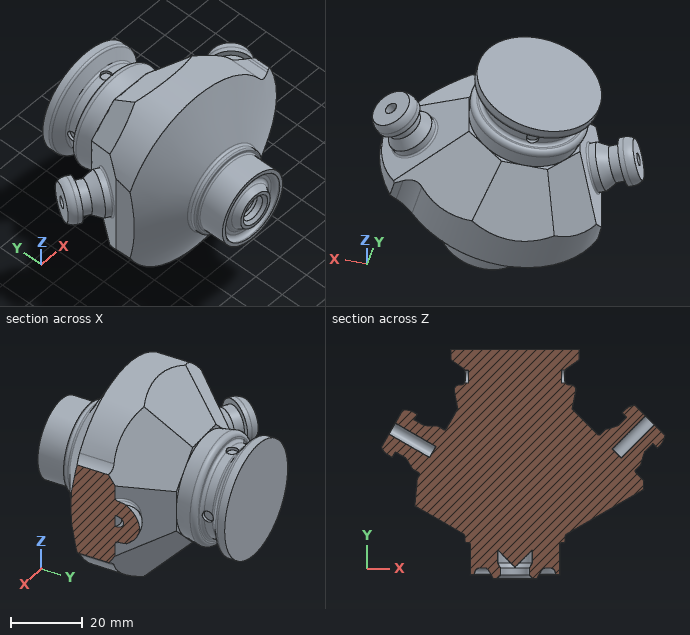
import cadquery as cq
import math


FLANGE_R = 18.0
FLANGE_EDGE_DEPTH = 2.9
GROOVE_R = 14.0
GROOVE_START = 5.7
NECK_FILLET = 1.0
COLLAR_START = 9.85
COLLAR_R = 17.35
COLLAR_FILLET = 1.5
LOCK_HOLE_D = 3.5
LOCK_HOLE_POS = 7.6
LOCK_HOLE_DEPTH = 1.0
LOCK_HOLE_COUNT = 4

BODY_START = 16.6
FACET_APOTHEM = 16.0
FACET_COUNT = 8
FACET_TILT = 45.0
SIDE_FACET_TILT = 30.0
SIDE_ANGLE = 180.0
BODY_R = 31.0
FRONT_EDGE_DEPTH = 42.0
FRONT_CONE_HALF_ANGLE = 60.0
SIDE_FLAT_DEPTH = 36.2
SIDE_FLAT_TILT = 5.0
LOBE_R = 36.0
LOBE_HALF_WIDTH = 14.4
LOBE_ROOT_R = 6.0
LOBE_CORNER_R = 2.0

NECK_R = 14.0
NECK_END = 54.0
NECK_EDGE_FILLET = 0.5
SPIGOT_R = 12.5
SPIGOT_END = 62.9
SPIGOT_BORE_R = 11.25
SPIGOT_FLOOR = 61.0
FLOOR_FILLET = 1.5
TIP_END = 64.0
TIP_R = 6.1
TIP_HALF_ANGLE = 30.0
TIP_BORE_R = 4.0
TIP_BORE_CHAMFER = 1.0
TIP_LIP_END = 61.0
TIP_CHAMBER_R = 4.8
TIP_CHAMBER_HALF_ANGLE = 30.0
NEEDLE_TIP = 60.8
NEEDLE_HALF_ANGLE = 45.0

NOZZLE_R = 7.0
NOZZLE_NECK_R = 5.25
NOZZLE_BASE_END = 2.5
NOZZLE_NECK_START = 5.8
NOZZLE_HEAD_START = 9.0
NOZZLE_HEAD_EDGE = 10.5
NOZZLE_LENGTH = 13.1
NOZZLE_FACE_R = 6.0
NOZZLE_ROOT_FILLET = 0.5
NOZZLE_HOLE_D = 3.5
LEFT_NOZZLE_OFFSET = 13.9
RIGHT_NOZZLE_OFFSET = 17.56

BIG = 100.0


def tan(degrees):
    return math.tan(math.radians(degrees))


NECK_START = FRONT_EDGE_DEPTH + (BODY_R - NECK_R) / tan(FRONT_CONE_HALF_ANGLE)


def front_point(x, z, depth):
    return cq.Vector(x, -depth, z)


def turned(corners):
    """Revolve (radius, depth, fillet) corners about the Y axis, rounding each corner by its fillet.

    The first corner is always sharp.
    """
    path = None
    count = len(corners)
    for i, (radius, depth, fillet) in enumerate(corners):
        corner = cq.Vector(radius, -depth)
        if path is None:
            path = cq.Workplane("XY").moveTo(corner.x, corner.y)
            continue
        if fillet == 0:
            path = path.lineTo(corner.x, corner.y)
            continue
        before = cq.Vector(corners[i - 1][0], -corners[i - 1][1])
        after = cq.Vector(corners[(i + 1) % count][0], -corners[(i + 1) % count][1])
        back = (before - corner).normalized()
        ahead = (after - corner).normalized()
        half_angle = back.getAngle(ahead) / 2
        start = corner + back * (fillet / math.tan(half_angle))
        end = corner + ahead * (fillet / math.tan(half_angle))
        bisector = (back + ahead).normalized()
        middle = corner + bisector * (fillet / math.sin(half_angle) - fillet)
        path = path.lineTo(start.x, start.y).threePointArc((middle.x, middle.y), (end.x, end.y))
    return path.close().revolve(360, (0, 0, 0), (0, 1, 0))


def rear_flange():
    return turned([
        (0, 0, 0),
        (FLANGE_R, 0, 0),
        (FLANGE_R, FLANGE_EDGE_DEPTH, NECK_FILLET),
        (GROOVE_R, GROOVE_START, NECK_FILLET),
        (GROOVE_R, COLLAR_START, NECK_FILLET),
        (COLLAR_R, COLLAR_START, COLLAR_FILLET),
        (FACET_APOTHEM, BODY_START, 0),
        (0, BODY_START, 0),
    ])


def lock_holes():
    """Blind radial holes in the groove, evenly spaced around it."""
    holes = cq.Workplane("XY")
    for i in range(LOCK_HOLE_COUNT):
        hole = (
            cq.Workplane("XY", origin=(0, -LOCK_HOLE_POS, GROOVE_R - LOCK_HOLE_DEPTH))
            .circle(LOCK_HOLE_D / 2)
            .extrude(FLANGE_R - GROOVE_R + LOCK_HOLE_DEPTH)
        )
        holes = holes.add(hole.rotate((0, 0, 0), (0, 1, 0), 360 / LOCK_HOLE_COUNT * i))
    return holes.combine()


def lobe_prism(start, length):
    """Lobe on the +X side, with concave roots tangent to the body circle."""
    root_z = LOBE_HALF_WIDTH + LOBE_ROOT_R
    root_x = math.sqrt((BODY_R + LOBE_ROOT_R) ** 2 - root_z ** 2)
    tangent_scale = BODY_R / (BODY_R + LOBE_ROOT_R)
    tangent_x = root_x * tangent_scale
    tangent_z = root_z * tangent_scale
    root_reach = math.hypot(root_x, root_z)
    root_mid = cq.Vector(-root_x / root_reach, -root_z / root_reach - 1).normalized() * LOBE_ROOT_R
    mid_x = root_x + root_mid.x
    mid_z = root_z + root_mid.y
    corner_x = math.sqrt(LOBE_R ** 2 - LOBE_HALF_WIDTH ** 2)
    lobe = (
        cq.Workplane("XZ", origin=(0, -start, 0))
        .lineTo(tangent_x, -tangent_z)
        .threePointArc((mid_x, -mid_z), (root_x, -LOBE_HALF_WIDTH))
        .lineTo(corner_x, -LOBE_HALF_WIDTH)
        .threePointArc((LOBE_R, 0), (corner_x, LOBE_HALF_WIDTH))
        .lineTo(root_x, LOBE_HALF_WIDTH)
        .threePointArc((mid_x, mid_z), (tangent_x, tangent_z))
        .close()
        .extrude(length)
    )
    upper_corner = cq.selectors.NearestToPointSelector((corner_x, -start - length / 2, LOBE_HALF_WIDTH))
    return lobe.edges(upper_corner).fillet(LOBE_CORNER_R)


def trim_beyond(solid, origin, normal, along):
    """Remove everything on the side of a plane that its normal points to."""
    plane = cq.Plane(origin=origin, xDir=along, normal=normal)
    return solid.cut(cq.Workplane(plane).rect(2 * BIG, 2 * BIG).extrude(BIG))


def facet_normal(tilt, angle):
    """Outward normal of a facet leaning toward the rear, at an angle about Y measured from +X to +Z."""
    outward = math.cos(math.radians(tilt))
    return cq.Vector(
        outward * math.cos(math.radians(angle)),
        math.sin(math.radians(tilt)),
        outward * math.sin(math.radians(angle)),
    )


def tangent_direction(angle):
    return cq.Vector(-math.sin(math.radians(angle)), 0, math.cos(math.radians(angle)))


def body():
    """Cylinder and lobe, with a conical front, a faceted rear and a leaning flat on the -X side."""
    cone_rear_r = LOBE_R + NECK_R
    cone_rear = FRONT_EDGE_DEPTH - (cone_rear_r - BODY_R) / tan(FRONT_CONE_HALF_ANGLE)
    length = NECK_START - BODY_START
    solid = cq.Workplane("XZ", origin=(0, -BODY_START, 0)).circle(BODY_R).extrude(length)
    solid = solid.union(lobe_prism(BODY_START, length))
    envelope = turned([
        (0, BODY_START, 0),
        (cone_rear_r, BODY_START, 0),
        (cone_rear_r, cone_rear, 0),
        (NECK_R, NECK_START, 0),
        (0, NECK_START, 0),
    ])
    solid = solid.intersect(envelope)
    for i in range(FACET_COUNT):
        angle = 360 / FACET_COUNT * i
        tilt = SIDE_FACET_TILT if angle == SIDE_ANGLE else FACET_TILT
        origin = tangent_direction(angle - 90) * FACET_APOTHEM + cq.Vector(0, -BODY_START, 0)
        solid = trim_beyond(solid, origin, facet_normal(tilt, angle), tangent_direction(angle))
    flat_x = -FACET_APOTHEM - (SIDE_FLAT_DEPTH - BODY_START) * tan(SIDE_FACET_TILT)
    flat_origin = front_point(flat_x, 0, SIDE_FLAT_DEPTH)
    flat_normal = facet_normal(SIDE_FLAT_TILT, SIDE_ANGLE)
    return trim_beyond(solid, flat_origin, flat_normal, tangent_direction(SIDE_ANGLE))


def front_neck():
    """Neck, spigot and tip, with a short stretch of the front cone so that their junction is rounded."""
    overlap = 2.0
    tip_root_r = TIP_R + (TIP_END - SPIGOT_FLOOR) * tan(TIP_HALF_ANGLE)
    return turned([
        (0, NECK_START - overlap, 0),
        (NECK_R + overlap * tan(FRONT_CONE_HALF_ANGLE), NECK_START - overlap, 0),
        (NECK_R, NECK_START, NECK_FILLET),
        (NECK_R, NECK_END, NECK_EDGE_FILLET),
        (SPIGOT_R, NECK_END, NECK_EDGE_FILLET),
        (SPIGOT_R, SPIGOT_END, 0),
        (SPIGOT_BORE_R, SPIGOT_END, 0),
        (SPIGOT_BORE_R, SPIGOT_FLOOR, FLOOR_FILLET),
        (tip_root_r, SPIGOT_FLOOR, FLOOR_FILLET),
        (TIP_R, TIP_END, 0),
        (0, TIP_END, 0),
    ])


def tip_bore():
    """Bore with a chamfered mouth, flaring to a chamber with a conical needle on its floor."""
    flare_length = (TIP_CHAMBER_R - TIP_BORE_R) / tan(TIP_CHAMBER_HALF_ANGLE)
    chamber_end = NEEDLE_TIP - TIP_CHAMBER_R / tan(NEEDLE_HALF_ANGLE)
    return turned([
        (0, TIP_END, 0),
        (TIP_BORE_R + TIP_BORE_CHAMFER, TIP_END, 0),
        (TIP_BORE_R, TIP_END - TIP_BORE_CHAMFER, 0),
        (TIP_BORE_R, TIP_LIP_END, 0),
        (TIP_CHAMBER_R, TIP_LIP_END - flare_length, 0),
        (TIP_CHAMBER_R, chamber_end, 0),
        (0, NEEDLE_TIP, 0),
    ])


def nozzle_blank():
    """Nozzle along +Z, standing on the XY plane."""
    head_drop = NOZZLE_LENGTH - NOZZLE_HEAD_EDGE
    head_inset = NOZZLE_R - NOZZLE_FACE_R
    round_r = (head_drop ** 2 + head_inset ** 2) / (2 * head_inset)
    half_sweep = math.asin(head_drop / round_r) / 2
    round_mid = (
        NOZZLE_R - round_r * (1 - math.cos(half_sweep)),
        NOZZLE_HEAD_EDGE + round_r * math.sin(half_sweep),
    )
    root_mid = NOZZLE_ROOT_FILLET * (1 - math.sqrt(0.5))
    embed = 1.0
    return (
        cq.Workplane("XZ")
        .moveTo(0, -embed)
        .lineTo(NOZZLE_R + NOZZLE_ROOT_FILLET, -embed)
        .lineTo(NOZZLE_R + NOZZLE_ROOT_FILLET, 0)
        .threePointArc((NOZZLE_R + root_mid, root_mid), (NOZZLE_R, NOZZLE_ROOT_FILLET))
        .lineTo(NOZZLE_R, NOZZLE_BASE_END)
        .lineTo(NOZZLE_NECK_R, NOZZLE_NECK_START)
        .lineTo(NOZZLE_NECK_R, NOZZLE_HEAD_START)
        .lineTo(NOZZLE_R, NOZZLE_HEAD_START)
        .lineTo(NOZZLE_R, NOZZLE_HEAD_EDGE)
        .threePointArc(round_mid, (NOZZLE_FACE_R, NOZZLE_LENGTH))
        .lineTo(0, NOZZLE_LENGTH)
        .close()
        .revolve(360, (0, 0, 0), (0, 1, 0))
        .cut(cq.Workplane("XY").circle(NOZZLE_HOLE_D / 2).extrude(NOZZLE_LENGTH))
    )


def nozzle(side, tilt, offset):
    """Nozzle square to a side facet; side is +1 or -1 along X, offset is the distance down the facet."""
    slope = math.radians(tilt)
    base = front_point(
        side * (FACET_APOTHEM + offset * math.sin(slope)),
        0,
        BODY_START + offset * math.cos(slope),
    )
    normal = cq.Vector(side * math.cos(slope), math.sin(slope), 0)
    location = cq.Location(cq.Plane(origin=base, xDir=(0, 0, 1), normal=normal))
    return nozzle_blank().val().moved(location)


result = (
    body()
    .union(rear_flange())
    .union(front_neck())
    .cut(tip_bore())
    .cut(lock_holes())
    .union(nozzle(-1, SIDE_FACET_TILT, LEFT_NOZZLE_OFFSET))
    .union(nozzle(1, FACET_TILT, RIGHT_NOZZLE_OFFSET))
)